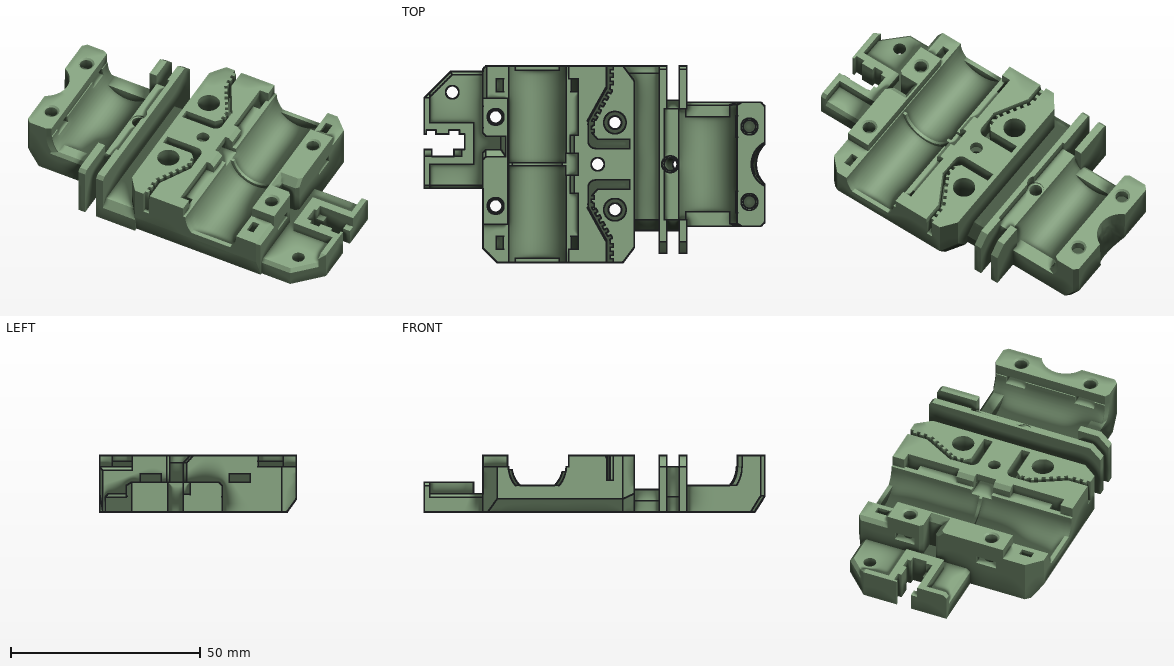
import cadquery as cq
import math

HEIGHT = 15.0
AXIS_Z = 12.0
LEDGE_Z = 7.05
EPS = 0.5

BORE_R = 7.6
LONG_SEAT_WEST = 7.85
LONG_SEAT_EAST = 8.25
SHORT_SEAT_HALF = 7.85
SHORT_AXIS_X = 45.0
LONG_SEAT_Y = 24.8
SHORT_SEAT_Y = 12.55

BLOCK_X0 = -14.4
BLOCK_X1 = 25.6
BLOCK_EAST_CORNER_X = 3.0
RECESS_X1 = 10.8
CENTER_SCREW_X = 15.95
TIE_OUTER_R = 10.9
BLOCK_Y = 51.95 / 2
SCREW_R = 1.7
SCREW_RIM_R = 2.2
SCREW_RIM_DEPTH = 0.4
CLAMP_SCREW_X = -11.0
CLAMP_SCREW_YS = (12.5, -11.0)
NUT_WIDTH = 5.6
NUT_THICKNESS = 2.2
LONG_NUT_Z = 7.9
SHORT_NUT_Z = 10.0
CENTER_NUT_Z = 10.7
LAND_Y0 = -15.85
LAND_Y1 = 17.4

PLATE_X0 = -29.9
PLATE_Y0 = -6.4
PLATE_Y1 = 24.5
PLATE_FLOOR_Z = 4.9
PLATE_Z = 7.9
PLATE_CORNER = 7.0
PLATE_BEVEL = 0.9

BRIDGE_Z = 6.0
COLUMN_Z = 12.0
WALL_XS = (32.15, 37.45)
WALL_THICKNESS = 2.05
WALL_Y0 = -23.5
WALL_Y1 = BLOCK_Y
COLUMN_X0 = 33.55
COLUMN_HALF_Y = 14.6

SHORT_X1 = 60.1
SHORT_Y = 16.4
SHORT_SCREW_X = 56.0
SHORT_SCREW_Y = 9.95


def box(x0, x1, y0, y1, z0, z1):
    """Axis-aligned box between two opposite corners."""
    return cq.Workplane("XY").box(x1 - x0, y1 - y0, z1 - z0, centered=False).translate((x0, y0, z0))


def prism_z(points, z0, z1):
    """Upright prism on an XY outline."""
    return cq.Workplane("XY").workplane(offset=z0).polyline(points).close().extrude(z1 - z0)


def prism_x(points, x0, x1):
    """Prism along X on a YZ outline."""
    return cq.Workplane("YZ").workplane(offset=x0).polyline(points).close().extrude(x1 - x0)


def prism_y(points, y0, y1):
    """Prism along Y on an XZ outline."""
    return cq.Workplane("XZ").workplane(offset=-y1).polyline(points).close().extrude(y1 - y0)


def rod_z(x, y, radius, z0, z1):
    """Upright cylinder."""
    return cq.Workplane("XY").workplane(offset=z0).center(x, y).circle(radius).extrude(z1 - z0)


def rod_y(x, radius, y0, y1):
    """Cylinder along Y, centred on a bearing axis."""
    return cq.Workplane("XZ").workplane(offset=-y1).center(x, AXIS_Z).circle(radius).extrude(y1 - y0)


def half_space(origin, normal):
    """Large slab lying on the side of a plane that the normal points to."""
    size = 60.0
    return cq.Workplane(cq.Plane(origin, normal=normal)).rect(size, size).extrude(size / 2)


def screw_hole(x, y, z0, top):
    """Screw hole with a small countersunk rim."""
    rim = cq.Workplane("XY").add(
        cq.Solid.makeCone(SCREW_R, SCREW_RIM_R, SCREW_RIM_DEPTH, pnt=(x, y, top - SCREW_RIM_DEPTH))
    )
    return rod_z(x, y, SCREW_R, z0, top + EPS).union(rim)


def nut_slot(x, y, z, mouth_x):
    """Square-ended slot for sliding a nut in from mouth_x to just past a screw axis."""
    half_width = NUT_WIDTH / 2
    end_x = x + math.copysign(half_width, x - mouth_x)
    return box(min(end_x, mouth_x), max(end_x, mouth_x), y - half_width, y + half_width, z, z + NUT_THICKNESS)


def bearing_seat(x, west, east, seat_y, end_y):
    """Open bearing seat with raised flat stops beyond seat_y."""
    round_part = rod_y(x, BORE_R, -end_y, end_y)
    slot = box(x - west, x + east, -end_y, end_y, AXIS_Z, HEIGHT + EPS)
    seat = round_part.union(slot)
    for y0, y1 in ((-end_y, -seat_y), (seat_y, end_y)):
        seat = seat.cut(box(x - BORE_R, x + BORE_R, y0, y1, 0, LEDGE_Z))
    return seat


def long_block_body():
    """Solid outline of the long bearing block with its bevelled base."""
    south_corner = 3.8
    north_corner = 0.85
    east_corner_y = 4.0
    base_y = 2.5
    base_z = 3.5
    east_base_z = 4.9
    north_base_y = 0.9
    north_base_z = 5.0
    outline = [
        (BLOCK_X0 + south_corner, -BLOCK_Y),
        (BLOCK_X1 - BLOCK_EAST_CORNER_X, -BLOCK_Y),
        (BLOCK_X1, -BLOCK_Y + east_corner_y),
        (BLOCK_X1, BLOCK_Y - east_corner_y),
        (BLOCK_X1 - BLOCK_EAST_CORNER_X, BLOCK_Y),
        (BLOCK_X0 + north_corner, BLOCK_Y),
        (BLOCK_X0, BLOCK_Y - north_corner),
        (BLOCK_X0, -BLOCK_Y + south_corner),
    ]
    body = prism_z(outline, 0, HEIGHT)
    body = body.cut(half_space((0, -BLOCK_Y, base_z), (0, -base_z, -base_y)))
    body = body.cut(half_space((0, BLOCK_Y, north_base_z), (0, north_base_z, -north_base_y)))
    bevel_start = cq.Vector(BLOCK_X1 - BLOCK_EAST_CORNER_X, -BLOCK_Y, base_z)
    down = cq.Vector(0, base_y, -base_z)
    along = cq.Vector(BLOCK_EAST_CORNER_X, east_corner_y, east_base_z - base_z)
    return body.cut(half_space(bevel_start.toTuple(), down.cross(along).toTuple()))


def clamp_land_cuts():
    """Lowered ends of the -X land with the bevel on the +Y one."""
    edge_x = -LONG_SEAT_WEST
    bevel_size = 1.0
    cuts = box(BLOCK_X0, edge_x, -BLOCK_Y, LAND_Y0, AXIS_Z, HEIGHT)
    cuts = cuts.union(box(BLOCK_X0, edge_x, LAND_Y1, BLOCK_Y, AXIS_Z, HEIGHT))
    bevel = [(BLOCK_X0, AXIS_Z), (BLOCK_X0 + bevel_size, AXIS_Z), (BLOCK_X0, AXIS_Z - bevel_size)]
    return cuts.union(prism_y(bevel, LAND_Y1, BLOCK_Y))


def cable_notch():
    """Notch through the -X land with sloping upper edges."""
    y0 = 3.85
    y1 = 7.45
    back_x = -9.6
    slope_z = 13.05
    slope_x = 1.3
    slope_y = 1.85
    corner = 0.85
    slope_height = HEIGHT - slope_z
    funnel = box(BLOCK_X0, back_x + slope_x, y0 - slope_y, y1, slope_z, HEIGHT)
    funnel = funnel.cut(half_space((back_x, y0, slope_z), (slope_height, 0, -slope_x)))
    funnel = funnel.cut(half_space((back_x, y0, slope_z), (0, -slope_height, -slope_y)))
    notch = box(BLOCK_X0, back_x, y0, y1, PLATE_FLOOR_Z, HEIGHT).union(funnel)
    mouth_north = [(BLOCK_X0, y1), (BLOCK_X0 + corner, y1), (BLOCK_X0, y1 + corner)]
    mouth_south = [(BLOCK_X0, y0), (BLOCK_X0 + corner, y0), (BLOCK_X0, y0 - corner)]
    notch = notch.union(prism_z(mouth_north, PLATE_FLOOR_Z, HEIGHT))
    notch = notch.union(prism_z(mouth_south, PLATE_FLOOR_Z, HEIGHT))
    top_corner = (BLOCK_X0, y0 - slope_y - corner, HEIGHT)
    top_bevel = half_space(top_corner, (-1, 1, slope_y / slope_height))
    return notch.union(top_bevel.intersect(box(BLOCK_X0, back_x, 0, y0, PLATE_FLOOR_Z, HEIGHT)))


def tie_channels():
    """Curved zip-tie channels running under the long bearing."""
    inner_r = 8.95
    width = 3.5
    center_ys = (20.85, -20.7)
    channels = cq.Workplane("XY")
    for y in center_ys:
        y0 = y - width / 2
        y1 = y + width / 2
        ring = rod_y(0, TIE_OUTER_R, y0, y1).cut(rod_y(0, inner_r, y0, y1))
        channels = channels.add(ring.intersect(box(-TIE_OUTER_R, TIE_OUTER_R, y0, y1, 0, AXIS_Z)))
        channels = channels.add(box(inner_r, RECESS_X1, y0, y1, AXIS_Z - EPS, HEIGHT))
    return channels.combine()


def cover_recess():
    """Recess along the +X edge of the long seat, with two bevelled teeth left standing."""
    south_y = -22.45
    north_y = 22.6
    tooth_x = 8.7
    tooth_y0 = 2.85
    tooth_y1 = 7.7
    tooth_bevel = 1.05
    undercut_z = 13.4
    recess = box(0, RECESS_X1, south_y, north_y, AXIS_Z, HEIGHT)
    round_wall = rod_y(0, TIE_OUTER_R, south_y, north_y)
    recess = recess.union(round_wall.intersect(box(0, TIE_OUTER_R, south_y, north_y, AXIS_Z, undercut_z)))
    tooth = [
        (tooth_x, AXIS_Z),
        (tooth_x, HEIGHT - tooth_bevel),
        (tooth_x + tooth_bevel, HEIGHT),
        (TIE_OUTER_R, HEIGHT),
        (TIE_OUTER_R, AXIS_Z),
    ]
    recess = recess.cut(prism_y(tooth, tooth_y0, tooth_y1))
    recess = recess.cut(prism_y(tooth, -tooth_y1, -tooth_y0))
    return recess.union(box(0, RECESS_X1, -tooth_y0, tooth_y0, CENTER_NUT_Z, HEIGHT))


def bearing_divider():
    """Thin rib round the middle of the long seat that keeps two bearings apart."""
    half_width = 0.4
    inner_r = 6.7
    top_z = 11.2
    overlap_r = BORE_R + EPS
    ring = rod_y(0, overlap_r, -half_width, half_width).cut(rod_y(0, inner_r, -half_width, half_width))
    return ring.intersect(box(-overlap_r, overlap_r, -half_width, half_width, 0, top_z))


def belt_groove(side):
    """Toothed belt groove; side is +1 or -1 for the +Y or -Y copy."""
    floor_z = 8.4
    width = 0.8
    pitch = 2.0
    tooth_width = 1.0
    tooth_depth = 0.85
    entry_x = 18.4
    bend_y = 20.3
    inner_x = 13.4
    inner_y = 11.3
    turn_radius = 2.0
    tail_y0 = 4.15
    tail_y1 = 6.65
    tail_x = 24.4
    lead_in_width = 0.25
    lead_in_depth = 1.5

    tail_corner_x = 15.9
    nose_y = 8.5
    diagonal_angle = math.atan2(inner_y - bend_y, inner_x - entry_x)
    shift = width * math.tan((diagonal_angle + math.pi / 2) / -2)
    groove = (
        cq.Workplane("XY")
        .workplane(offset=floor_z)
        .moveTo(entry_x, BLOCK_Y + EPS)
        .lineTo(entry_x, bend_y)
        .lineTo(inner_x, inner_y)
        .lineTo(inner_x, tail_y0 + turn_radius)
        .tangentArcPoint((inner_x + turn_radius, tail_y0), relative=False)
        .lineTo(tail_x, tail_y0)
        .lineTo(tail_x, tail_y1)
        .lineTo(tail_corner_x, tail_y1)
        .lineTo(inner_x + width, nose_y)
        .lineTo(inner_x + width, inner_y - shift)
        .lineTo(entry_x + width, bend_y - shift)
        .lineTo(entry_x + width, BLOCK_Y + EPS)
        .close()
        .extrude(HEIGHT - floor_z)
    )
    legs = (
        ((entry_x, BLOCK_Y), (entry_x, bend_y)),
        ((entry_x, bend_y), (inner_x, inner_y)),
        ((inner_x, inner_y), (inner_x, nose_y)),
    )
    for (x0, y0), (x1, y1) in legs:
        length = math.hypot(x1 - x0, y1 - y0)
        along_x = (x1 - x0) / length
        along_y = (y1 - y0) / length
        for index in range(math.ceil(length / pitch)):
            distance = index * pitch + tooth_width / 2
            offset = width + tooth_depth / 2 - EPS / 2
            center_x = x0 + along_x * distance - along_y * offset
            center_y = y0 + along_y * distance + along_x * offset
            angle = math.degrees(math.atan2(along_y, along_x))
            tooth = (
                cq.Workplane("XY")
                .box(tooth_width, tooth_depth + EPS, HEIGHT - floor_z, centered=(True, True, False))
                .rotate((0, 0, 0), (0, 0, 1), angle)
                .translate((center_x, center_y, floor_z))
            )
            groove = groove.union(tooth)
    for (x0, y0), (x1, y1) in legs[:2]:
        leg_length = math.hypot(x1 - x0, y1 - y0)
        leg_plane = cq.Plane((x0, y0, HEIGHT), xDir=(y1 - y0, x0 - x1, 0), normal=(x1 - x0, y1 - y0, 0))
        lead_in = cq.Workplane(leg_plane).polyline([(0, 0), (lead_in_width, 0), (0, lead_in_depth)]).close()
        groove = groove.union(lead_in.extrude(leg_length))
    if side < 0:
        groove = groove.mirror("XZ")
    return groove


def mounting_holes():
    """Through holes of the top face; the outer pair is counterbored."""
    bore_r = 2.95
    bore_floor_z = 5.0
    pair_x = 20.5
    pair_ys = (11.0, -12.0)
    holes = rod_z(CENTER_SCREW_X, 0, SCREW_R, -EPS, HEIGHT + EPS)
    for y in pair_ys:
        holes = holes.union(rod_z(pair_x, y, SCREW_R, -EPS, HEIGHT + EPS))
        holes = holes.union(rod_z(pair_x, y, bore_r, bore_floor_z, HEIGHT + EPS))
    return holes


def long_block():
    """Block holding the long bearing pair, the clamping screws and the belt ends."""
    block = long_block_body()
    block = block.cut(bearing_seat(0, LONG_SEAT_WEST, LONG_SEAT_EAST, LONG_SEAT_Y, BLOCK_Y + EPS))
    block = block.union(bearing_divider())
    block = block.cut(clamp_land_cuts())
    block = block.cut(cable_notch())
    block = block.cut(cover_recess())
    block = block.cut(tie_channels())
    for y in CLAMP_SCREW_YS:
        block = block.cut(screw_hole(CLAMP_SCREW_X, y, -EPS, HEIGHT))
        block = block.cut(nut_slot(CLAMP_SCREW_X, y, LONG_NUT_Z, BLOCK_X0 - EPS))
    block = block.cut(nut_slot(CENTER_SCREW_X, 0, CENTER_NUT_Z, 0))
    for side in (1, -1):
        block = block.cut(belt_groove(side))
    return block


def side_plate():
    """Low plate on the -X side with a raised rim round its connector opening."""
    rim_x = -28.4
    frame_x1 = -16.8
    frame_y0 = 0.05
    frame_y1 = 10.9
    hole_x = -22.45
    hole_y = 19.0
    corner_y = PLATE_Y1 - PLATE_CORNER
    outline = [
        (PLATE_X0, PLATE_Y0),
        (BLOCK_X0, PLATE_Y0),
        (BLOCK_X0, PLATE_Y1),
        (PLATE_X0 + PLATE_CORNER, PLATE_Y1),
        (PLATE_X0, corner_y),
    ]
    bevel_top = PLATE_FLOOR_Z - PLATE_BEVEL
    plate = prism_z(outline, 0, PLATE_FLOOR_Z)
    plate = plate.cut(half_space((0, PLATE_Y0, bevel_top), (0, -1, 1)))
    plate = plate.cut(half_space((0, PLATE_Y1, bevel_top), (0, 1, 1)))
    plate = plate.cut(half_space((PLATE_X0, corner_y, bevel_top), (-1, 1, math.sqrt(2))))
    rim_end = corner_y + rim_x - PLATE_X0
    rim_outline = [(PLATE_X0, PLATE_Y0), (rim_x, PLATE_Y0), (rim_x, rim_end), (PLATE_X0, corner_y)]
    rim = prism_z(rim_outline, 0, PLATE_Z)
    rim = rim.cut(half_space((0, PLATE_Y0, PLATE_Z - PLATE_BEVEL), (0, -1, 1)))
    rim = rim.cut(half_space((0, corner_y, PLATE_Z), (0, PLATE_BEVEL, rim_end - corner_y)))
    plate = plate.union(rim)
    plate = plate.union(box(PLATE_X0, frame_x1, frame_y0, frame_y1, 0, PLATE_Z))
    plate = plate.cut(rod_z(hole_x, hole_y, SCREW_R, -EPS, PLATE_Z))
    return plate.cut(connector_opening())


def connector_opening():
    """Stepped opening for a connector, with two low tabs left at its -Y edge."""
    y0 = 2.05
    tab_y = 3.9
    y1 = 7.95
    groove_y = 9.0
    tab_z = 4.7
    x1 = -19.2
    step_x = -20.0
    x0 = PLATE_X0 - EPS
    top = PLATE_Z + EPS
    opening = box(x0, x1, tab_y, y1, -EPS, top)
    opening = opening.union(box(x0, step_x, y0, tab_y, -EPS, top))
    for tab_x0, tab_x1 in ((x0, -27.85), (-22.0, step_x)):
        opening = opening.cut(box(tab_x0, tab_x1, y0, tab_y, -EPS, tab_z))
    for groove_x0, groove_x1 in ((-29.3, -26.75), (-23.35, -20.6)):
        opening = opening.union(box(groove_x0, groove_x1, y1, groove_y, -EPS, top))
    return opening


def bridge_and_walls():
    """Low bridge, the two upright walls and the column between them."""
    slope_y = 2.9
    bridge_slope_z = 3.0
    bridge_north_y = 1.95
    column_foot_z = 4.1
    column_north_y = 2.35
    wall_slope = 3.0
    wall_north = 0.9
    foot_y = -COLUMN_HALF_Y - slope_y
    bridge = [
        (foot_y, 0),
        (foot_y, BRIDGE_Z - bridge_slope_z),
        (-COLUMN_HALF_Y, BRIDGE_Z),
        (BLOCK_Y - bridge_north_y, BRIDGE_Z),
        (BLOCK_Y, BRIDGE_Z - bridge_north_y),
        (BLOCK_Y, 0),
    ]
    body = prism_x(bridge, BLOCK_X1 - BLOCK_EAST_CORNER_X, WALL_XS[0] + EPS)
    wall = [
        (WALL_Y0, 0),
        (WALL_Y0, HEIGHT - wall_slope),
        (WALL_Y0 + wall_slope, HEIGHT),
        (WALL_Y1 - wall_north, HEIGHT),
        (WALL_Y1, HEIGHT - wall_north),
        (WALL_Y1, 0),
    ]
    for x in WALL_XS:
        body = body.union(prism_x(wall, x, x + WALL_THICKNESS))
    body = body.cut(box(COLUMN_X0, SHORT_AXIS_X, -COLUMN_HALF_Y, COLUMN_HALF_Y, COLUMN_Z, HEIGHT))
    column = [
        (foot_y, 0),
        (foot_y, column_foot_z),
        (-COLUMN_HALF_Y, COLUMN_Z),
        (COLUMN_HALF_Y, COLUMN_Z),
        (COLUMN_HALF_Y + column_north_y, column_foot_z),
        (COLUMN_HALF_Y + column_north_y, 0),
    ]
    return body.union(prism_x(column, COLUMN_X0, WALL_XS[1] + EPS))


def short_block():
    """Block holding the short bearing, with a sloping scoop in its +X face."""
    corner = 1.1
    base_x = 2.7
    base_z = 4.3
    north_bevel = 0.85
    x0 = WALL_XS[1]
    outline = [
        (x0, -SHORT_Y),
        (SHORT_X1 - corner, -SHORT_Y),
        (SHORT_X1, -SHORT_Y + corner),
        (SHORT_X1, SHORT_Y - corner),
        (SHORT_X1 - corner, SHORT_Y),
        (x0, SHORT_Y),
    ]
    block = prism_z(outline, 0, HEIGHT)
    west_top = box(x0, SHORT_AXIS_X, -SHORT_Y, SHORT_Y, AXIS_Z, HEIGHT)
    bevel = [
        (SHORT_Y - north_bevel, LEDGE_Z),
        (SHORT_Y, LEDGE_Z - north_bevel),
        (SHORT_Y, LEDGE_Z),
    ]
    block = block.cut(west_top).cut(prism_x(bevel, x0, SHORT_AXIS_X + SHORT_SEAT_HALF))
    block = block.cut(half_space((SHORT_X1, 0, base_z), (base_z, 0, -base_x)))
    for side in (1, -1):
        corner_foot = (SHORT_X1 - corner, side * SHORT_Y, base_z)
        block = block.cut(half_space(corner_foot, (base_z, side * base_z, -base_x)))
    scoop_base_x = 64.9
    scoop_base_r = 7.0
    scoop_top_x = 62.9
    scoop_top_r = 6.4
    scoop = (
        cq.Workplane("XY")
        .center(scoop_base_x, 0)
        .circle(scoop_base_r)
        .workplane(offset=HEIGHT)
        .center(scoop_top_x - scoop_base_x, 0)
        .circle(scoop_top_r)
        .loft()
    )
    return block.cut(scoop)


def seat_flare(side):
    """Widened mouth on the +X wall of the short seat at its +Y or -Y end."""
    depth = 0.7
    widening = 1.2
    wide = SHORT_SEAT_HALF + widening
    face_y = side * SHORT_Y
    cone = cq.Workplane("XY").add(
        cq.Solid.makeCone(wide, SHORT_SEAT_HALF, depth, pnt=(SHORT_AXIS_X, face_y, AXIS_Z), dir=(0, -side, 0))
    )
    keep = box(SHORT_AXIS_X, SHORT_X1, -SHORT_Y, SHORT_Y, LEDGE_Z, AXIS_Z)
    mouth = [
        (SHORT_AXIS_X, face_y),
        (SHORT_AXIS_X + wide, face_y),
        (SHORT_AXIS_X + SHORT_SEAT_HALF, face_y - side * depth),
        (SHORT_AXIS_X, face_y - side * depth),
    ]
    return cone.intersect(keep).union(prism_z(mouth, AXIS_Z, HEIGHT))


def short_seat_cuts():
    """Bearing seat, screw holes and nut slots of the short block."""
    cuts = bearing_seat(SHORT_AXIS_X, SHORT_SEAT_HALF, SHORT_SEAT_HALF, SHORT_SEAT_Y, SHORT_Y)
    cuts = cuts.union(seat_flare(1)).union(seat_flare(-1))
    wall_x1 = WALL_XS[1] + WALL_THICKNESS
    for y0, y1 in ((-SHORT_Y, -COLUMN_HALF_Y), (COLUMN_HALF_Y, SHORT_Y)):
        cuts = cuts.cut(box(WALL_XS[1] - EPS, wall_x1, y0, y1, 0, HEIGHT + EPS))
    for y in (SHORT_SCREW_Y, -SHORT_SCREW_Y):
        cuts = cuts.union(screw_hole(SHORT_SCREW_X, y, SHORT_NUT_Z, HEIGHT))
        cuts = cuts.union(nut_slot(SHORT_SCREW_X, y, SHORT_NUT_Z, SHORT_AXIS_X))
    return cuts


def leaning_screw_hole():
    """Screw hole through the column, leaning towards the short bearing."""
    x = 35.1
    lean_x = 2.4
    angle = math.degrees(math.atan2(lean_x, COLUMN_Z))
    hole = rod_z(x, 0, SCREW_R, -2 * COLUMN_Z, HEIGHT).rotate((x, 0, COLUMN_Z), (x, 1, COLUMN_Z), -angle)
    rim = rod_z(x, 0, SCREW_RIM_R, COLUMN_Z - SCREW_RIM_DEPTH, HEIGHT)
    return hole.union(rim)


result = long_block()
result = result.union(side_plate())
result = result.union(bridge_and_walls())
result = result.union(short_block())
result = result.cut(short_seat_cuts())
result = result.cut(mounting_holes())
result = result.cut(leaning_screw_hole())